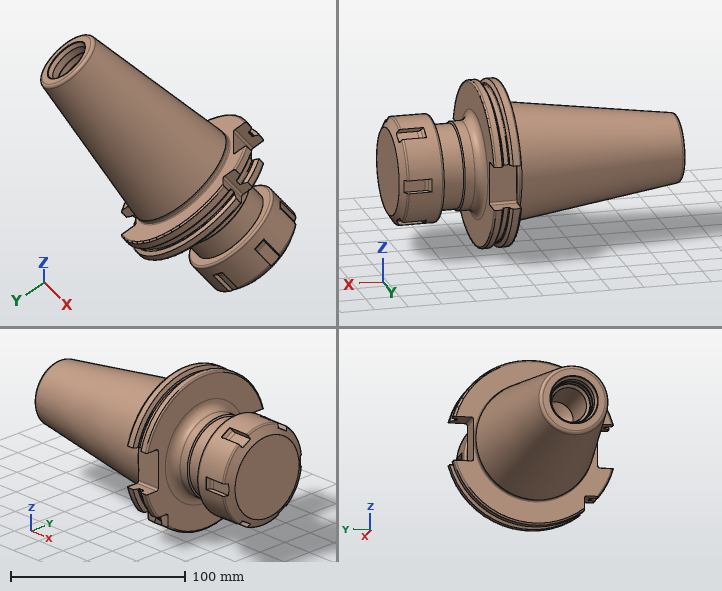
import cadquery as cq
import math

cutter_clearance = 1.7

taper_end_x = 101.0
relief_x = 102.1
flange_back_x = 104.3
flange_front_x = 120.6
collar_end_x = 132.5
shank_x = 133.2
nut_back_x = 146.0
overall_length = 171.6

taper_ratio = 7 / 24
taper_end_radius = 34.8
small_radius = taper_end_radius - taper_end_x * taper_ratio / 2
small_end_fillet = 2.0
relief_radius = 34.7
relief_fillet = 0.5
flange_radius = 48.7
flange_fillet = 1.0
collar_radius = 25.9
neck_fillet = 6.0
shank_radius = 24.9

groove_x = 112.7
groove_slot_width = 3.8
groove_flank_depth = 2.4
groove_depth = 3.5
groove_flank_angle = 30
groove_fillet = 0.5

slot_width = 25.9
slot_floor_front = 37.5
slot_floor_back = 35.5
notch_offset = 29.9
cutout_fillet = 1.4

mouth_radius = 14.2
mouth_depth = 0.3
lead_in_radius = 13.9
lead_in_depth = 3.0
counterbore_radius = 12.7
counterbore_depth = 7.4
pilot_radius = 12.2
pilot_depth = 11.2
countersink_radius = 11.8
countersink_depth = 13.2
thread_radius = 10.3
bore_depth = 48.0
drill_tip_angle = 118

nut_diameter = 63.0
nut_radius = nut_diameter / 2
nut_back_fillet = 1.4
nut_cone_x = 167.8
nut_face_radius = 25.5
nut_cone_fillet = 1.4
wrench_slots = 6
wrench_slot_x = 153.5
wrench_slot_width = 7.9
wrench_floor_width = 7.2
wrench_floor_radius = 28.7
wrench_ramp_run = 1.5
wrench_ramp_angle = 45
wrench_arc_radius = 3.0


def turned(profile):
    """Revolve a closed XY outline about the X axis."""
    return profile.close().revolve(360, (0, 0, 0), (1, 0, 0))


def holder_blank():
    profile = (
        cq.Workplane("XY")
        .lineTo(0, small_radius)
        .lineTo(taper_end_x, taper_end_radius)
        .lineTo(relief_x, relief_radius)
        .lineTo(flange_back_x - relief_fillet, relief_radius)
        .radiusArc((flange_back_x, relief_radius + relief_fillet), -relief_fillet)
        .lineTo(flange_back_x, flange_radius - flange_fillet)
        .radiusArc((flange_back_x + flange_fillet, flange_radius), flange_fillet)
        .lineTo(flange_front_x - flange_fillet, flange_radius)
        .radiusArc((flange_front_x, flange_radius - flange_fillet), flange_fillet)
        .lineTo(flange_front_x, collar_radius + neck_fillet)
        .radiusArc((flange_front_x + neck_fillet, collar_radius), -neck_fillet)
        .lineTo(collar_end_x, collar_radius)
        .lineTo(shank_x, shank_radius)
        .lineTo(nut_back_x, shank_radius)
        .lineTo(nut_back_x, 0)
    )
    return turned(profile).faces("<X").edges("%CIRCLE").fillet(small_end_fillet)


def flange_groove():
    slot_radius = flange_radius - groove_flank_depth
    floor_radius = flange_radius - groove_depth
    half_slot = groove_slot_width / 2
    half_mouth = half_slot + groove_flank_depth * math.tan(math.radians(groove_flank_angle))
    profile = (
        cq.Workplane("XY")
        .moveTo(groove_x - half_mouth, flange_radius)
        .lineTo(groove_x - half_slot, slot_radius)
        .lineTo(groove_x - half_slot, floor_radius)
        .lineTo(groove_x + half_slot, floor_radius)
        .lineTo(groove_x + half_slot, slot_radius)
        .lineTo(groove_x + half_mouth, flange_radius)
    )
    floor_edges = cq.selectors.RadiusNthSelector(0)
    return turned(profile).edges(floor_edges).fillet(groove_fillet)


def flange_cutter(y_min, y_max, z_min, z_max, inner_edges):
    """Box through the whole flange with its inner corners rounded."""
    return (
        cq.Workplane("XY")
        .box(flange_front_x - flange_back_x, y_max - y_min, z_max - z_min, centered=False)
        .translate((flange_back_x, y_min, z_min))
        .edges(inner_edges)
        .fillet(cutout_fillet)
    )


def flange_cutouts():
    reach = flange_radius + cutter_clearance
    half = slot_width / 2
    front_slot = flange_cutter(-reach, -slot_floor_front, -half, half, "|X and >Y")
    back_slot = flange_cutter(slot_floor_back, reach, -half, half, "|X and <Y")
    notch = flange_cutter(-reach, -notch_offset, -reach, -notch_offset, "|X and >Y and >Z")
    return front_slot.union(back_slot).union(notch)


def drawbar_bore():
    tip_length = thread_radius / math.tan(math.radians(drill_tip_angle / 2))
    profile = (
        cq.Workplane("XY")
        .lineTo(0, mouth_radius)
        .lineTo(mouth_depth, lead_in_radius)
        .lineTo(lead_in_depth, counterbore_radius)
        .lineTo(counterbore_depth, counterbore_radius)
        .lineTo(counterbore_depth, pilot_radius)
        .lineTo(pilot_depth, pilot_radius)
        .lineTo(pilot_depth, countersink_radius)
        .lineTo(countersink_depth, thread_radius)
        .lineTo(bore_depth, thread_radius)
        .lineTo(bore_depth + tip_length, 0)
    )
    return turned(profile)


def make_holder():
    return holder_blank().cut(flange_groove()).cut(flange_cutouts()).cut(drawbar_bore())


def nut_blank():
    profile = (
        cq.Workplane("XY")
        .moveTo(nut_back_x, 0)
        .lineTo(nut_back_x, nut_radius)
        .lineTo(nut_cone_x, nut_radius)
        .lineTo(overall_length, nut_face_radius)
        .lineTo(overall_length, 0)
    )
    blank = turned(profile)
    cone_edge = cq.selectors.RadiusNthSelector(-1)
    blank = blank.faces("%CONE").edges(cone_edge).fillet(nut_cone_fillet)
    return blank.faces("<X").edges().fillet(nut_back_fillet)


def wrench_slot():
    """Cutter for one slot on the -Y side, open at the nut's front face."""
    angle = math.radians(wrench_ramp_angle)
    arc_end_x = wrench_slot_x + wrench_ramp_run + wrench_arc_radius * math.sin(angle)
    arc_start_radius = wrench_floor_radius + wrench_arc_radius * (1 - math.cos(angle))
    arc_mid = (
        arc_end_x - wrench_arc_radius * math.sin(angle / 2),
        -wrench_floor_radius - wrench_arc_radius * (1 - math.cos(angle / 2)),
    )
    top_radius = arc_start_radius + wrench_ramp_run * math.tan(angle)
    outside = nut_radius + cutter_clearance
    lengthwise = (
        cq.Workplane("XY")
        .moveTo(wrench_slot_x, -outside)
        .lineTo(wrench_slot_x, -top_radius)
        .lineTo(wrench_slot_x + wrench_ramp_run, -arc_start_radius)
        .threePointArc(arc_mid, (arc_end_x, -wrench_floor_radius))
        .lineTo(overall_length, -wrench_floor_radius)
        .lineTo(overall_length, -outside)
        .close()
        .extrude(nut_radius, both=True)
    )
    half_floor = wrench_floor_width / 2
    wall_slope = (wrench_slot_width - wrench_floor_width) / 2 / (nut_radius - wrench_floor_radius)
    half_outside = half_floor + wall_slope * (outside - wrench_floor_radius)
    crosswise = (
        cq.Workplane("YZ")
        .moveTo(-wrench_floor_radius, -half_floor)
        .lineTo(-wrench_floor_radius, half_floor)
        .lineTo(-outside, half_outside)
        .lineTo(-outside, -half_outside)
        .close()
        .extrude(overall_length)
    )
    return lengthwise.intersect(crosswise)


def make_nut():
    nut = nut_blank()
    for i in range(wrench_slots):
        nut = nut.cut(wrench_slot().rotate((0, 0, 0), (1, 0, 0), i * 360 / wrench_slots))
    return nut


holder = make_holder()
nut = make_nut()
result = cq.Compound.makeCompound([holder.val(), nut.val()])